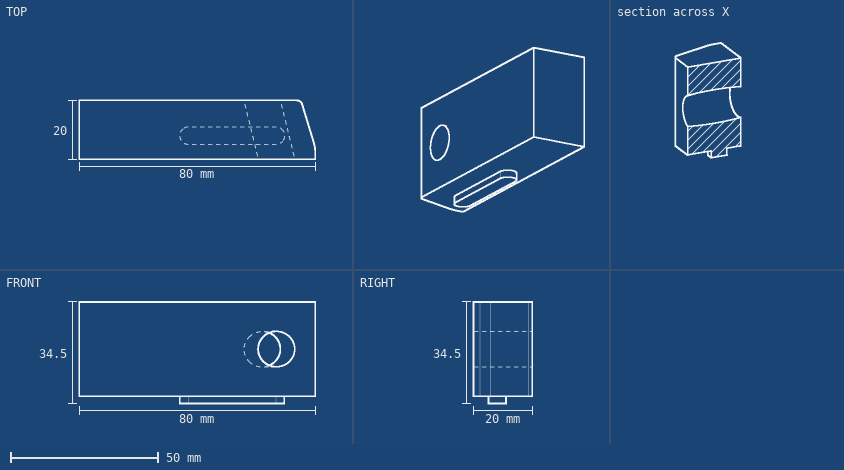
import cadquery as cq
import math

length = 80.0
depth = 20.0
height = 32.0

front_land = 4.0
taper_angle = 17.0
taper_run = (depth - front_land) * math.tan(math.radians(taper_angle))
back_corner_radius = 2.0
front_corner_radius = 12.0

hole_diameter = 12.0
hole_front_x = 66.8
hole_shift = 4.9
hole_overrun = 5.0

key_length = 35.5
key_width = 6.0
key_height = 2.5
key_start_x = 34.0
key_front_y = 5.1


def make_block():
    """Extrude the plan outline and round the two corners of the tapered end."""
    back_corner = (length - taper_run, depth)
    front_corner = (length, front_land)
    outline = [(0, 0), (length, 0), front_corner, back_corner, (0, depth)]
    block = cq.Workplane("XY").polyline(outline).close().extrude(height)

    def upright_edge_at(corner):
        x, y = corner
        return cq.selectors.NearestToPointSelector((x, y, height / 2))

    block = block.edges("|Z").edges(upright_edge_at(back_corner)).fillet(back_corner_radius)
    return block.edges("|Z").edges(upright_edge_at(front_corner)).fillet(front_corner_radius)


def make_hole():
    """Cylinder at mid height that drifts toward the square end from front to back."""
    bore_length = math.hypot(hole_shift, depth) + 2 * hole_overrun
    front_centre = cq.Vector(hole_front_x, 0, height / 2)
    axis = cq.Vector(-hole_shift, depth, 0).normalized()
    sideways = cq.Vector(depth, hole_shift, 0)
    bore_plane = cq.Plane(front_centre - axis * hole_overrun, sideways, axis)
    return cq.Workplane(bore_plane).circle(hole_diameter / 2).extrude(bore_length)


def make_key():
    """Slot-shaped key standing down from the underside."""
    centre = (key_start_x + key_length / 2, key_front_y + key_width / 2)
    key = cq.Workplane("XY").center(*centre).slot2D(key_length, key_width)
    return key.extrude(-key_height)


result = make_block().cut(make_hole()).union(make_key())